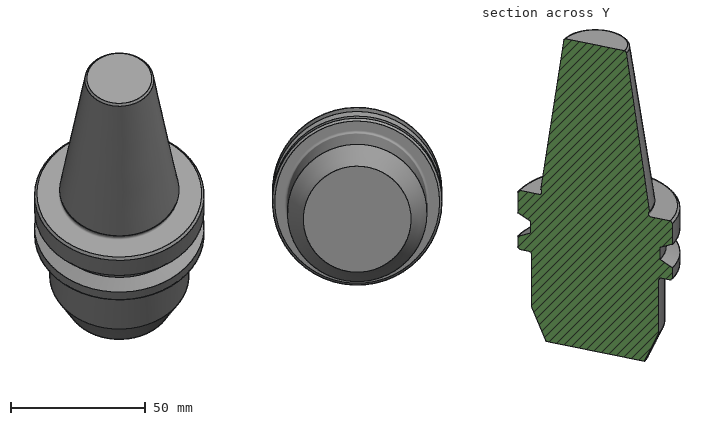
import cadquery as cq

total_height = 128.4

nose_radius = 20.0
body_radius = 26.0
nose_cone_height = 13.2

flange_radius = 31.52
flange_bottom = 36.2
flange_top = 61.1
flange_edge = 0.9
body_fillet = 1.0
groove_floor_radius = 26.5
groove_middle = 46.55
groove_floor_width = 4.9
groove_mouth_width = 9.8

taper_ratio = 7 / 24
taper_base_radius = 22.2
taper_base = 63.2
neck_radius = 21.8
neck_chamfer = taper_base_radius - neck_radius
neck_fillet = 0.8
tip_chamfer = 0.8

tip_edge_height = total_height - tip_chamfer
tip_radius = taper_base_radius - (tip_edge_height - taper_base) * taper_ratio / 2


def corner_arc(outline, radius, z, size, z_direction):
    """Draw a concave quarter arc between a wall of given radius and a flange face at z."""
    center_r = radius + size
    center_z = z + z_direction * size
    offset = size / 2**0.5
    middle = (center_r - offset, center_z - z_direction * offset)
    face_end = (center_r, z)
    wall_end = (radius, center_z)
    end = wall_end if z_direction > 0 else face_end
    return outline.threePointArc(middle, end)


profile = (
    cq.Workplane("XZ")
    .moveTo(0, 0)
    .lineTo(nose_radius, 0)
    .lineTo(body_radius, nose_cone_height)
    .lineTo(body_radius, flange_bottom - body_fillet)
)
profile = corner_arc(profile, body_radius, flange_bottom, body_fillet, -1)

profile = (
    profile
    .lineTo(flange_radius - flange_edge, flange_bottom)
    .lineTo(flange_radius, flange_bottom + flange_edge)
    .lineTo(flange_radius, groove_middle - groove_mouth_width / 2)
    .lineTo(groove_floor_radius, groove_middle - groove_floor_width / 2)
    .lineTo(groove_floor_radius, groove_middle + groove_floor_width / 2)
    .lineTo(flange_radius, groove_middle + groove_mouth_width / 2)
    .lineTo(flange_radius, flange_top - flange_edge)
    .lineTo(flange_radius - flange_edge, flange_top)
    .lineTo(neck_radius + neck_fillet, flange_top)
)
profile = corner_arc(profile, neck_radius, flange_top, neck_fillet, 1)

profile = (
    profile
    .lineTo(neck_radius, taper_base - neck_chamfer)
    .lineTo(taper_base_radius, taper_base)
    .lineTo(tip_radius, tip_edge_height)
    .lineTo(tip_radius - tip_chamfer, total_height)
    .lineTo(0, total_height)
    .close()
)

result = profile.revolve(360, (0, 0, 0), (0, 1, 0))